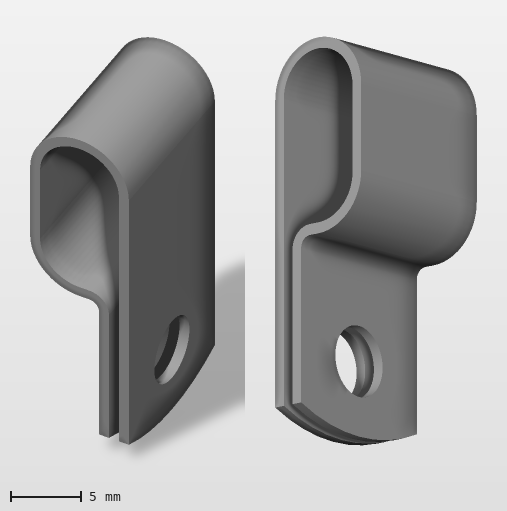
import cadquery as cq
import math

height = 27.7
loop_width = 7.98
strap_width = 12.7
thickness = 0.8
leg_gap = 0.8
loop_straight = 6.32
hole_diameter = 5.18
hole_height = 5.5
end_sagitta = 1.33

loop_radius = loop_width / 2
inner_radius = loop_radius - thickness
upper_center_z = height - loop_radius
lower_center_z = upper_center_z - loop_straight
bend_inner = thickness
bend_outer = bend_inner + thickness
leg_outer_x = inner_radius - leg_gap
leg_inner_x = leg_outer_x - thickness
bend_center_x = leg_outer_x - bend_outer
loop_bottom_z = lower_center_z - loop_radius
bend_center_z = loop_bottom_z - bend_inner
half_width = strap_width / 2
diagonal = math.sqrt(0.5)


def make_strap():
    """Bent strip with square ends, extruded symmetrically along Y."""
    profile = (
        cq.Workplane("XZ")
        .moveTo(loop_radius, 0)
        .lineTo(loop_radius, upper_center_z)
        .threePointArc((0, height), (-loop_radius, upper_center_z))
        .lineTo(-loop_radius, lower_center_z)
        .threePointArc(
            (-loop_radius * diagonal, lower_center_z - loop_radius * diagonal),
            (0, loop_bottom_z),
        )
        .lineTo(bend_center_x, loop_bottom_z)
        .threePointArc(
            (bend_center_x + bend_inner * diagonal, bend_center_z + bend_inner * diagonal),
            (leg_inner_x, bend_center_z),
        )
        .lineTo(leg_inner_x, 0)
        .lineTo(leg_outer_x, 0)
        .lineTo(leg_outer_x, bend_center_z)
        .threePointArc(
            (bend_center_x + bend_outer * diagonal, bend_center_z + bend_outer * diagonal),
            (bend_center_x, loop_bottom_z + thickness),
        )
        .lineTo(0, loop_bottom_z + thickness)
        .threePointArc(
            (-inner_radius * diagonal, lower_center_z - inner_radius * diagonal),
            (-inner_radius, lower_center_z),
        )
        .lineTo(-inner_radius, upper_center_z)
        .threePointArc((0, upper_center_z + inner_radius), (inner_radius, upper_center_z))
        .lineTo(inner_radius, 0)
        .close()
    )
    return profile.extrude(half_width, both=True)


def make_end_envelope():
    """Side outline whose arched bottom rounds both leg ends."""
    return (
        cq.Workplane("YZ")
        .moveTo(-half_width, height)
        .lineTo(-half_width, end_sagitta)
        .threePointArc((0, 0), (half_width, end_sagitta))
        .lineTo(half_width, height)
        .close()
        .extrude(loop_width, both=True)
    )


def make_bolt_hole():
    """Cylinder passing through both legs along X."""
    return (
        cq.Workplane("YZ")
        .center(0, hole_height)
        .circle(hole_diameter / 2)
        .extrude(loop_width, both=True)
    )


result = make_strap().intersect(make_end_envelope()).cut(make_bolt_hole())